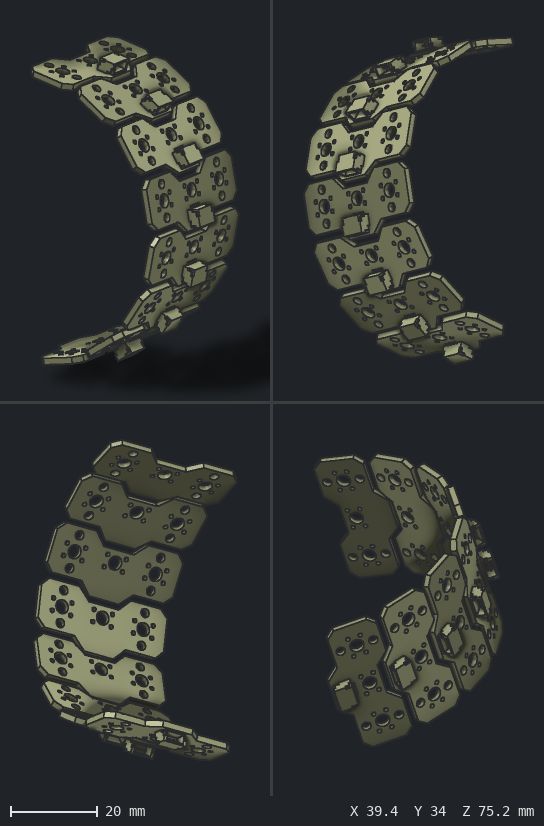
import cadquery as cq


board_count = 8
step_angle = 180 / board_count
ring_apothem = 33.4

board_width = 34.0
board_thickness = 1.6
lobe_length = 12.05
tongue_length = 3.0
tongue_half_width = 4.0
corner_chamfer = 1.95
lobe_start = -(lobe_length + tongue_length) / 2
lobe_end = lobe_start + lobe_length
tongue_end = lobe_end + tongue_length
lobe_centre = (lobe_start + lobe_end) / 2

hole_row_spacing = 11.0
main_hole_diameter = 3.2
mount_hole_diameter = 2.1
mount_hole_offset = 4.0
lead_hole_diameter = 1.0
lead_hole_offset_x = 1.5
lead_hole_offset_y = 2.5

housing_length = 4.3
housing_width = 6.0
housing_height = 2.9
housing_setback = 0.6
housing_front = tongue_end - housing_setback
housing_rear = housing_front - housing_length
housing_top = board_thickness + housing_height

opening_width = 4.45
opening_height = 2.1
opening_depth = 3.15
opening_bottom = board_thickness + (housing_height - opening_height) / 2
opening_back = housing_front - opening_depth

relief_depth = 0.45
relief_strip = 0.5
relief_reach = 1.6

contact_count = 4
contact_pitch = 1.0
contact_size = 0.2
contact_length = 1.5
contact_rise = 1.2
contact_height = opening_bottom + contact_rise
lead_length = 0.75
lead_width = 0.2
lead_height = 0.2


def box(x_range, y_centre, y_size, z_range):
    """Block between two x values and two z values, centred on y_centre."""
    return cq.Workplane("XY").box(
        x_range[1] - x_range[0], y_size, z_range[1] - z_range[0], centered=(False, True, False)
    ).translate((x_range[0], y_centre, z_range[0]))


def make_board():
    """Plate with two chamfered lobes, a tongue on one edge and a notch on the other."""
    side = board_width / 2
    shoulder = tongue_half_width + tongue_length
    half_outline = [
        (lobe_start + tongue_length, tongue_half_width),
        (lobe_start, shoulder),
        (lobe_start, side - corner_chamfer),
        (lobe_start + corner_chamfer, side),
        (lobe_end - corner_chamfer, side),
        (lobe_end, side - corner_chamfer),
        (lobe_end, shoulder),
        (tongue_end, tongue_half_width),
    ]
    mirrored_half = [(x, -y) for x, y in reversed(half_outline)]
    return cq.Workplane("XY").polyline(half_outline + mirrored_half).close().extrude(board_thickness)


def hole_cutter(diameter, points):
    return cq.Workplane("XY").pushPoints(points).circle(diameter / 2).extrude(board_thickness)


def cut_holes(board):
    """Three rows of a main hole with four lead holes; mounting holes in the outer rows only."""
    row_positions = [-hole_row_spacing, 0, hole_row_spacing]
    main_points = [(lobe_centre, y) for y in row_positions]
    lead_points = [
        (lobe_centre + along * lead_hole_offset_x, y + across * lead_hole_offset_y)
        for y in row_positions
        for along in (-1, 1)
        for across in (-1, 1)
    ]
    mount_points = [
        (lobe_centre + along * mount_hole_offset, across * hole_row_spacing)
        for along in (-1, 1)
        for across in (-1, 1)
    ]
    board = board.cut(hole_cutter(main_hole_diameter, main_points))
    board = board.cut(hole_cutter(lead_hole_diameter, lead_points))
    return board.cut(hole_cutter(mount_hole_diameter, mount_points))


def cut_reliefs(housing):
    """L-shaped side reliefs at the upper rear and the lower front housing corners."""
    base = board_thickness
    rear_post_x = (housing_rear, housing_rear + relief_strip)
    rear_beam_x = (housing_rear, housing_rear + relief_reach)
    front_post_x = (housing_front - relief_strip, housing_front)
    front_beam_x = (housing_front - relief_reach, housing_front)
    arms = [
        (rear_post_x, (housing_top - relief_reach, housing_top)),
        (rear_beam_x, (housing_top - relief_strip, housing_top)),
        (front_post_x, (base, base + relief_reach)),
        (front_beam_x, (base, base + relief_strip)),
    ]
    for across in (-1, 1):
        y = across * (housing_width - relief_depth) / 2
        for x_range, z_range in arms:
            housing = housing.cut(box(x_range, y, relief_depth, z_range))
    return housing


def make_connector():
    """Housing open towards the tongue end, with contacts inside and solder leads behind."""
    housing = box((housing_rear, housing_front), 0, housing_width, (board_thickness, housing_top))
    housing = cut_reliefs(housing)
    opening_z = (opening_bottom, opening_bottom + opening_height)
    connector = housing.cut(box((opening_back, housing_front), 0, opening_width, opening_z))
    contact_z = (contact_height - contact_size / 2, contact_height + contact_size / 2)
    lead_z = (board_thickness, board_thickness + lead_height)
    for index in range(contact_count):
        y = (index - (contact_count - 1) / 2) * contact_pitch
        contact = box((opening_back, opening_back + contact_length), y, contact_size, contact_z)
        lead = box((housing_rear - lead_length, housing_rear), y, lead_width, lead_z)
        connector = connector.union(contact).union(lead)
    return connector


def make_module():
    """One body: the drilled board with its connector fused to the outer face."""
    return cut_holes(make_board()).union(make_connector())


def place_on_ring(module, index):
    """Move a flat module out to the ring and turn it to its place about the ring axis."""
    angle = step_angle * (index - (board_count - 1) / 2)
    raised = module.translate((0, 0, ring_apothem))
    return raised.rotate((0, 0, 0), (0, 1, 0), 90 + angle)


module = make_module()
modules = [place_on_ring(module, index) for index in range(board_count)]

result = cq.Compound.makeCompound([placed.val() for placed in modules])